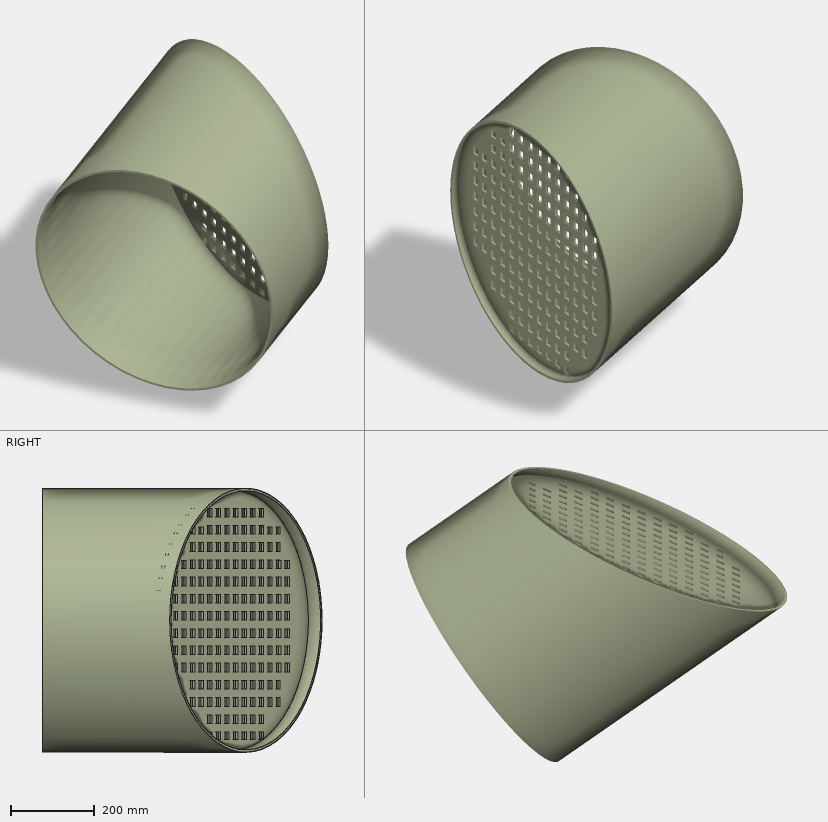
import cadquery as cq
import math

tube_length = 667.0
tube_diameter = 630.0
tube_bore = 618.0
slant_angle = 30.0

groove_diameter = 624.0
plate_setback = 25.5
plate_thickness = 6.0

hole_size = 21.0
holes_per_side = 14
grid_span = 533.5
hole_pitch = grid_span / (holes_per_side - 1)
grid_offset_down_slope = 11.0
grid_offset_z = -10.0

short_half = 143.0
middle_half = 222.0
long_half = 284.0
trim_half_sides = [(short_half, long_half), (middle_half, middle_half), (long_half, short_half)]

slant_radians = math.radians(slant_angle)
slant_center_y = tube_length - tube_diameter / 2 * math.tan(slant_radians)


def slant_workplane(depth):
    """Workplane parallel to the slanted end and the given depth inside it.

    The origin is on the tube axis, local X runs down the slope and local Y is -Z.
    """
    plane = cq.Plane(
        origin=(0, slant_center_y - depth / math.cos(slant_radians), 0),
        xDir=(math.cos(slant_radians), -math.sin(slant_radians), 0),
        normal=(math.sin(slant_radians), math.cos(slant_radians), 0),
    )
    return cq.Workplane(plane)


def cylinder_along_y(diameter):
    return cq.Workplane("XZ").circle(diameter / 2).extrude(-tube_length)


def slanted_slab(depth, thickness):
    """Slab wider than the tube, with its outer face at the given depth."""
    side = 2 * tube_length
    return slant_workplane(depth).rect(side, side).extrude(-thickness)


def make_plate_blank():
    """Plate without holes, which is also the shape of its seat in the tube."""
    return cylinder_along_y(groove_diameter).intersect(slanted_slab(plate_setback, plate_thickness))


def make_tube():
    slant_cut_cylinder = cylinder_along_y(tube_diameter).intersect(slanted_slab(0, 2 * tube_length))
    return slant_cut_cylinder.cut(cylinder_along_y(tube_bore)).cut(make_plate_blank())


def make_trim_cross():
    """Stepped cross, as thick as the plate, that bounds the holes."""
    cross = cq.Workplane()
    for half_width, half_height in trim_half_sides:
        block = slant_workplane(plate_setback).rect(2 * half_width, 2 * half_height).extrude(-plate_thickness)
        cross = cross.add(block)
    return cross.combine()


def make_hole_cutters():
    grid = (
        slant_workplane(plate_setback)
        .center(grid_offset_down_slope, -grid_offset_z)
        .rarray(hole_pitch, hole_pitch, holes_per_side, holes_per_side)
        .rect(hole_size, hole_size)
        .extrude(-plate_thickness)
    )
    return grid.intersect(make_trim_cross())


def make_grille_plate():
    return make_plate_blank().cut(make_hole_cutters())


tube = make_tube()
grille_plate = make_grille_plate()

result = cq.Compound.makeCompound([tube.solids().val(), grille_plate.solids().val()])